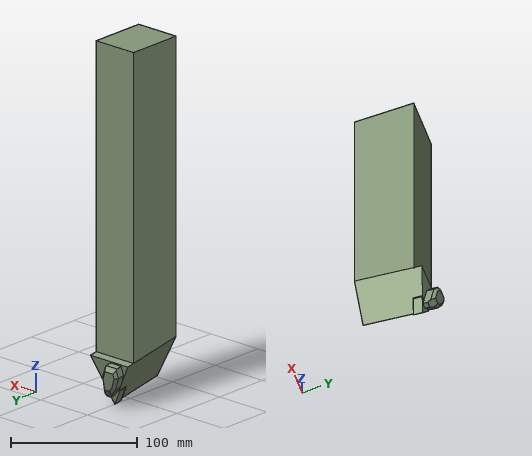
import cadquery as cq
import math

shank_width = 39.8
shank_depth = 50.0
overall_length = 301.5
tilt = 10.0
insert_setting = 1.5
nose_rise = 37.5

insert_height = 14.0
insert_thickness = 7.8

clamp_height = 8.5
clamp_bottom = 8.7
clamp_crown_start = 17.0
clamp_crown_end = 34.0
clamp_top = 37.7
clamp_toe_height = 4.2
clamp_heel_height = 5.0
clamp_chamfer = 2.5
clamp_outline = [
    (-14.0, 29.5),
    (-12.7, clamp_top),
    (-1.5, clamp_top),
    (3.3, 27.0),
    (3.3, clamp_bottom),
    (-1.2, clamp_bottom),
    (-9.5, 19.3),
]

tilt_angle = math.radians(tilt)
half_width = shank_width / 2
nose_slope = half_width / nose_rise
shoulder_height = insert_setting + nose_rise

rake_plane = cq.Plane(
    origin=(0, shank_depth, 0),
    xDir=(1, 0, 0),
    normal=(0, -math.cos(tilt_angle), math.sin(tilt_angle)),
)


def v_prism(tip, height, depth):
    """V-shaped prism with its point down, running into the head from the rake face."""
    spread = height * nose_slope
    top = tip + height
    return (
        cq.Workplane(rake_plane)
        .polyline([(0, tip), (spread, top), (-spread, top)])
        .close()
        .extrude(depth)
    )


def make_shank():
    """Rectangular bar whose lower end follows the tilted top of the nose."""
    front_drop = shank_depth * math.tan(tilt_angle)
    back_shoulder = shoulder_height / math.cos(tilt_angle)
    return (
        cq.Workplane("YZ")
        .polyline([
            (0, back_shoulder + front_drop),
            (shank_depth, back_shoulder),
            (shank_depth, overall_length),
            (0, overall_length),
        ])
        .close()
        .extrude(half_width, both=True)
    )


def make_nose():
    """Tilted V-shaped nose, trimmed flush with the front of the shank."""
    nose = v_prism(insert_setting, nose_rise, 2 * shank_depth)
    trim = cq.Workplane("XY").box(
        shank_width, 2 * shank_depth, overall_length, centered=(True, False, False)
    )
    return nose.intersect(trim)


def make_clamp():
    """Slanting clamp finger on the rake face, with chamfered sides and sloping ends."""
    finger = (
        cq.Workplane(rake_plane)
        .polyline(clamp_outline)
        .close()
        .extrude(-clamp_height)
        .faces(cq.selectors.DirectionMinMaxSelector(rake_plane.zDir, False))
        .chamfer(clamp_chamfer)
    )
    side_plane = cq.Plane(
        origin=(-half_width, shank_depth, 0),
        xDir=tuple(-rake_plane.zDir),
        normal=(1, 0, 0),
    )
    side_profile = (
        cq.Workplane(side_plane)
        .polyline([
            (0, clamp_bottom),
            (clamp_toe_height, clamp_bottom),
            (clamp_height, clamp_crown_start),
            (clamp_height, clamp_crown_end),
            (clamp_heel_height, clamp_top),
            (0, clamp_top),
        ])
        .close()
        .extrude(shank_width)
    )
    return finger.intersect(side_profile)


insert = v_prism(0, insert_height, insert_thickness)

holder = make_shank().union(make_nose()).cut(insert).union(make_clamp())

result = cq.Compound.makeCompound([holder.solids().val(), insert.val()])